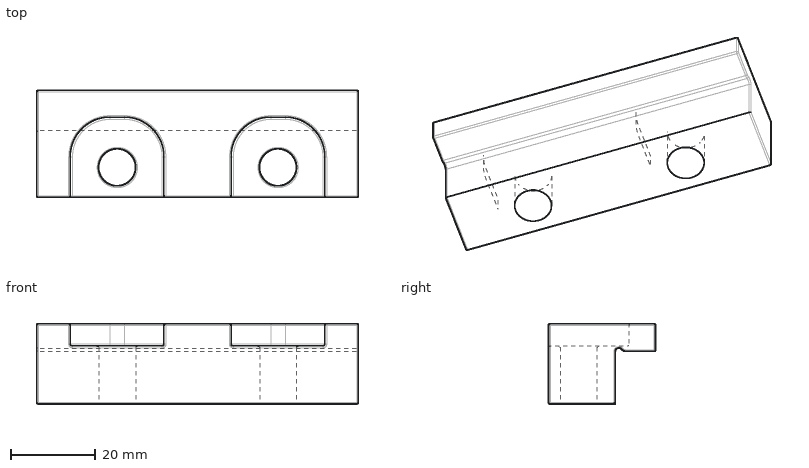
import cadquery as cq

LENGTH = 76.2
DEPTH = 25.4
HEIGHT = 19.05

BODY_DEPTH = 15.875
LIP_THICKNESS = 6.6

RELIEF_RADIUS = 0.8
RELIEF_FLARE_RADIUS = 1.6

POCKET_SPACING = 38.1
POCKET_WIDTH = 22.225
POCKET_REACH = 19.05
POCKET_DEPTH = 5.3
POCKET_CORNER_RADIUS = 9.4
POCKET_FLOOR_FILLET = 0.5

HOLE_DIAMETER = 8.73
HOLE_FROM_FRONT = 7.14

EDGE_RADIUS = 0.4

FRONT = -DEPTH / 2
BACK = DEPTH / 2
STEP_Y = FRONT + BODY_DEPTH
LIP_Z = HEIGHT - LIP_THICKNESS
POCKET_FLOOR = HEIGHT - POCKET_DEPTH
HOLE_Y = FRONT + HOLE_FROM_FRONT
POCKET_XS = (-POCKET_SPACING / 2, POCKET_SPACING / 2)


def make_block():
    """L-shaped bar with the relief groove under its lip."""
    groove_y = STEP_Y + RELIEF_RADIUS
    profile = (
        cq.Workplane("YZ")
        .moveTo(FRONT, 0)
        .lineTo(STEP_Y, 0)
        .lineTo(STEP_Y, LIP_Z)
        .threePointArc((groove_y, LIP_Z + RELIEF_RADIUS), (groove_y + RELIEF_RADIUS, LIP_Z))
        .lineTo(BACK, LIP_Z)
        .lineTo(BACK, HEIGHT)
        .lineTo(FRONT, HEIGHT)
        .close()
    )
    block = profile.extrude(LENGTH / 2, both=True)

    flare_edge = cq.selectors.NearestToPointSelector((0, groove_y + RELIEF_RADIUS, LIP_Z))
    return block.edges(flare_edge).fillet(RELIEF_FLARE_RADIUS)


def pocket_cutter(x):
    """Round-backed pocket with a filleted floor that runs out through the front."""
    half_width = POCKET_WIDTH / 2
    half_flat = half_width - POCKET_CORNER_RADIUS
    back_y = FRONT + POCKET_REACH
    arc_start_y = back_y - POCKET_CORNER_RADIUS
    mouth_y = FRONT - POCKET_WIDTH
    outline = (
        cq.Workplane("XY", origin=(x, 0, HEIGHT))
        .moveTo(-half_width, mouth_y)
        .lineTo(half_width, mouth_y)
        .lineTo(half_width, arc_start_y)
        .radiusArc((half_flat, back_y), -POCKET_CORNER_RADIUS)
        .lineTo(-half_flat, back_y)
        .radiusArc((-half_width, arc_start_y), -POCKET_CORNER_RADIUS)
        .close()
    )
    pocket = outline.extrude(-POCKET_DEPTH)
    return pocket.faces("<Z").edges("not <Y").fillet(POCKET_FLOOR_FILLET)


def hole_cutter(x):
    """Plain round through hole."""
    return cq.Workplane("XY", origin=(x, HOLE_Y, 0)).circle(HOLE_DIAMETER / 2).extrude(HEIGHT)


def round_edges(body):
    """Round the ends, top, front and back edges, the pocket rims and the hole mouths."""
    outside_edges = body.faces("<X or >X or <Y or >Y or >Z").edges()
    hole_mouths = body.edges(cq.selectors.BoxSelector(
        (-LENGTH / 2, HOLE_Y - HOLE_DIAMETER, POCKET_FLOOR - EDGE_RADIUS),
        (LENGTH / 2, HOLE_Y + HOLE_DIAMETER, POCKET_FLOOR + EDGE_RADIUS),
    )).edges("%CIRCLE")
    return outside_edges.add(hole_mouths).fillet(EDGE_RADIUS)


body = make_block()
for pocket_x in POCKET_XS:
    body = body.cut(pocket_cutter(pocket_x)).cut(hole_cutter(pocket_x))

result = round_edges(body)